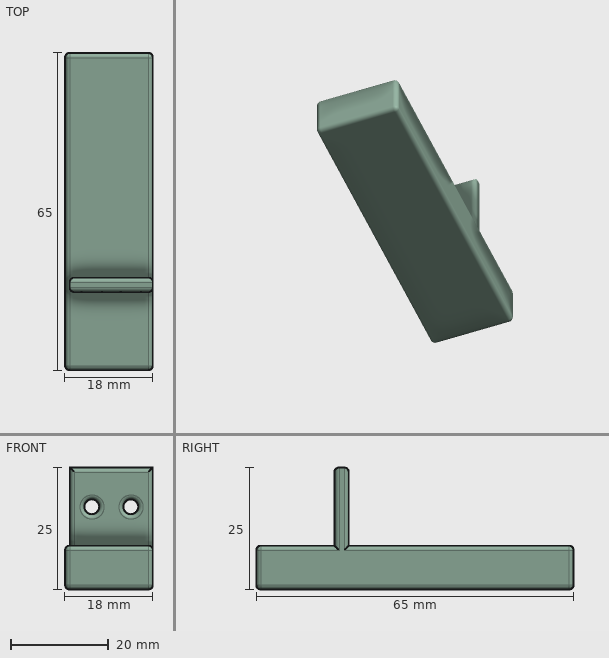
import cadquery as cq

bar_width = 18.0
bar_length = 65.0
bar_height = 9.05
edge_radius = 1.0

total_height = 25.0
plate_inset = 1.0
plate_front = 16.0
plate_thickness = 3.0

hole_diameter = 3.0
mouth_radius = 1.0
hole_spacing = 8.0
hole_height = 16.95

plate_width = bar_width - plate_inset
plate_center_x = plate_inset + plate_width / 2


def make_bar():
    bar = cq.Workplane("XY").box(bar_width, bar_length, bar_height, centered=False)
    return bar.edges().fillet(edge_radius)


def make_plate():
    foot = bar_height / 2
    plate = (
        cq.Workplane("XY")
        .box(plate_width, plate_thickness, total_height - foot, centered=False)
        .translate((plate_inset, plate_front, foot))
    )
    plate = plate.faces("<Y or >Y").edges("|Z or >Z").fillet(edge_radius)

    for side in (-1, 1):
        hole_x = plate_center_x + side * hole_spacing / 2
        hole = (
            cq.Workplane("XZ", origin=(hole_x, plate_front, hole_height))
            .circle(hole_diameter / 2)
            .extrude(-plate_thickness)
        )
        plate = plate.cut(hole)
    return plate.faces("<Y or >Y").edges("%CIRCLE").fillet(mouth_radius)


result = make_bar().union(make_plate())